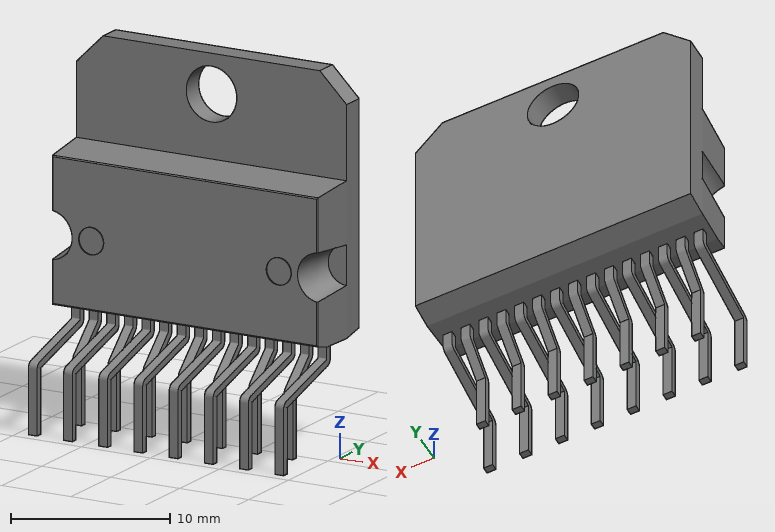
import cadquery as cq
import math


width = 19.6
total_depth = 8.6
total_height = 24.55
tab_thickness = 1.6
corner_cut = 1.95
hole_diameter = 3.65
hole_height = 21.87
tab_bevel_rise = 0.32

body_bottom = 7.3
body_top = 17.63
front_y = -4.95
bottom_bevel_y = -3.85
bottom_bevel_rise = 0.27
top_draft = 0.32
side_draft = 0.17
front_chamfer = 0.07

feature_height = 12.1
notch_back_radius = 1.33
notch_front_radius = 1.62
mark_diameter = 1.8
mark_offset = 6.8
mark_depth = 0.07

lead_count = 15
lead_pitch = 1.28
lead_width = 0.65
lead_thickness = 0.47
lead_root_y = -2.92
lead_embed = 0.5
lead_front_y = -total_depth + lead_thickness / 2
lead_rear_y = -4.98
front_bend_heights = (6.06, 4.52)
rear_bend_heights = (6.24, 4.32)
outer_bend_radius = 0.47
root_inner_radius = 0.1

half_width = width / 2


def make_tab():
    """Flat plate with cut upper corners, a mounting hole and a bevelled lower edge."""
    plate = (
        cq.Workplane("YZ")
        .polyline([
            (0, body_bottom + tab_bevel_rise),
            (0, total_height),
            (-tab_thickness, total_height),
            (-tab_thickness, body_bottom),
        ])
        .close()
        .extrude(half_width, both=True)
        .edges("|Y and >Z")
        .chamfer(corner_cut)
    )
    hole = (
        cq.Workplane("XZ")
        .center(0, hole_height)
        .circle(hole_diameter / 2)
        .extrude(tab_thickness)
    )
    return plate.cut(hole)


def make_body():
    """Block in front of the tab, drafted towards its chamfered front face."""
    side_shape = (
        cq.Workplane("YZ")
        .polyline([
            (-tab_thickness, body_bottom),
            (bottom_bevel_y, body_bottom),
            (front_y, body_bottom + bottom_bevel_rise),
            (front_y, body_top - top_draft),
            (-tab_thickness, body_top),
        ])
        .close()
        .extrude(half_width, both=True)
    )
    front_half_width = half_width - side_draft
    plan_shape = (
        cq.Workplane("XY")
        .polyline([
            (-half_width, -tab_thickness),
            (half_width, -tab_thickness),
            (front_half_width, front_y),
            (-front_half_width, front_y),
        ])
        .close()
        .extrude(total_height)
    )
    return side_shape.intersect(plan_shape).faces("<Y").chamfer(front_chamfer)


def make_notch(x):
    """Cone that cuts a half-round notch into one side, widening towards the front."""
    return cq.Workplane(cq.Solid.makeCone(
        notch_back_radius,
        notch_front_radius,
        -tab_thickness - front_y,
        pnt=cq.Vector(x, -tab_thickness, feature_height),
        dir=cq.Vector(0, -1, 0),
    ))


def make_mark(x):
    """Shallow disc that sinks a round mark into the front face."""
    return (
        cq.Workplane("XZ", origin=(x, front_y + mark_depth, feature_height))
        .circle(mark_diameter / 2)
        .extrude(mark_depth)
    )


def make_lead(x, foot_y, bend_heights):
    """Strip that leaves the body downwards, slopes forward and drops to Z = 0."""
    upper_bend, lower_bend = bend_heights
    half = lead_thickness / 2
    slope_angle = math.atan2(upper_bend - lower_bend, lead_root_y - foot_y)
    miter = half * math.tan(math.pi / 4 - slope_angle / 2)
    lead_top = body_bottom + lead_embed
    strip = (
        cq.Workplane("YZ", origin=(x, 0, 0))
        .polyline([
            (lead_root_y - half, lead_top),
            (lead_root_y - half, upper_bend + miter),
            (foot_y - half, lower_bend + miter),
            (foot_y - half, 0),
            (foot_y + half, 0),
            (foot_y + half, lower_bend - miter),
            (lead_root_y + half, upper_bend - miter),
            (lead_root_y + half, lead_top),
        ])
        .close()
        .extrude(lead_width / 2, both=True)
    )
    bends = [
        (lead_root_y + half, upper_bend - miter, outer_bend_radius),
        (foot_y - half, lower_bend + miter, outer_bend_radius),
        (lead_root_y - half, upper_bend + miter, root_inner_radius),
    ]
    for bend_y, bend_z, radius in bends:
        nearest = cq.selectors.NearestToPointSelector((x, bend_y, bend_z))
        strip = strip.edges(nearest).fillet(radius)
    return strip


result = make_tab().union(make_body())

for side in (-1, 1):
    result = result.cut(make_notch(side * half_width))
    result = result.cut(make_mark(side * mark_offset))

for index in range(lead_count):
    lead_x = (index - (lead_count - 1) / 2) * lead_pitch
    if index % 2 == 0:
        lead = make_lead(lead_x, lead_front_y, front_bend_heights)
    else:
        lead = make_lead(lead_x, lead_rear_y, rear_bend_heights)
    result = result.union(lead)